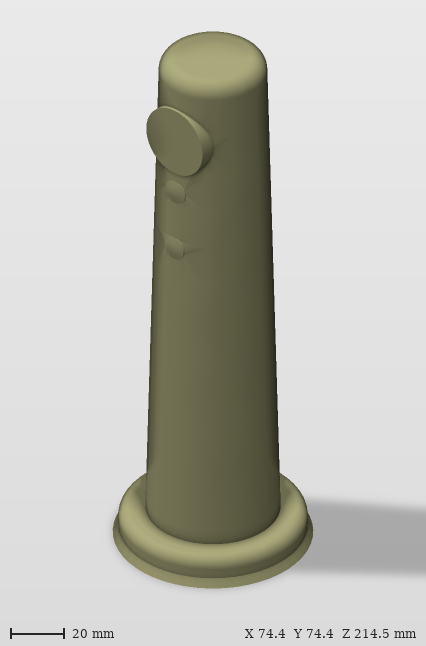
import cadquery as cq
import math

foot_radius = 37.22
base_radius = 35.2
foot_height = 3.2
base_height = 11.5
base_fillet = 4.3

total_height = 214.5
column_bottom_radius = 25.0
column_top_radius = 20.2
cap_fillet = 5.8
cap_start = total_height - cap_fillet

knob_diameter = 27.7
knob_height = 187.3
knob_projection = 1.0
stud_diameter = 9.5
stud_heights = (164.3, 139.5)
stud_projection = 0.6
dome_radius = ((stud_diameter / 2) ** 2 + stud_projection ** 2) / (2 * stud_projection)
control_depth = 8.5

taper_angle = math.atan((column_bottom_radius - column_top_radius) / (cap_start - base_height))


def column_radius(height):
    """Radius of the tapered column at a given height."""
    rise = (height - base_height) / (cap_start - base_height)
    return column_bottom_radius + rise * (column_top_radius - column_bottom_radius)


def make_body():
    """Revolve the base and column as one profile around Z."""
    arc_reach = math.sqrt(0.5)
    base_arc_r = base_radius - base_fillet
    base_arc_z = base_height - base_fillet
    cap_arc_r = column_top_radius - cap_fillet
    profile = (
        cq.Workplane("XZ")
        .moveTo(0, 0)
        .lineTo(foot_radius, 0)
        .lineTo(base_radius, foot_height)
        .lineTo(base_radius, base_arc_z)
        .threePointArc(
            (base_arc_r + base_fillet * arc_reach, base_arc_z + base_fillet * arc_reach),
            (base_arc_r, base_height),
        )
        .lineTo(column_bottom_radius, base_height)
        .lineTo(column_top_radius, cap_start)
        .threePointArc(
            (cap_arc_r + cap_fillet * arc_reach, cap_start + cap_fillet * arc_reach),
            (cap_arc_r, total_height),
        )
        .lineTo(0, total_height)
        .close()
    )
    return profile.revolve(360, (0, 0, 0), (0, 1, 0))


def control_plane(height):
    """Plane touching the column front at this height, facing outward along the taper."""
    return cq.Plane(
        origin=(0, -column_radius(height), height),
        xDir=(1, 0, 0),
        normal=(0, -math.cos(taper_angle), math.sin(taper_angle)),
    )


def make_knob():
    """Flat round knob, square to the column surface."""
    return (
        cq.Workplane(control_plane(knob_height))
        .workplane(offset=-control_depth)
        .circle(knob_diameter / 2)
        .extrude(control_depth + knob_projection)
    )


def make_stud(height):
    """Small round stud with a shallow domed face."""
    radius = stud_diameter / 2
    half_profile = (
        cq.Workplane(control_plane(height))
        .transformed(rotate=(90, 0, 0))
        .moveTo(0, -control_depth)
        .lineTo(radius, -control_depth)
        .lineTo(radius, 0)
        .radiusArc((0, stud_projection), -dome_radius)
        .close()
    )
    return half_profile.revolve(360, (0, 0, 0), (0, 1, 0))


result = make_body().union(make_knob())
for stud_height in stud_heights:
    result = result.union(make_stud(stud_height))